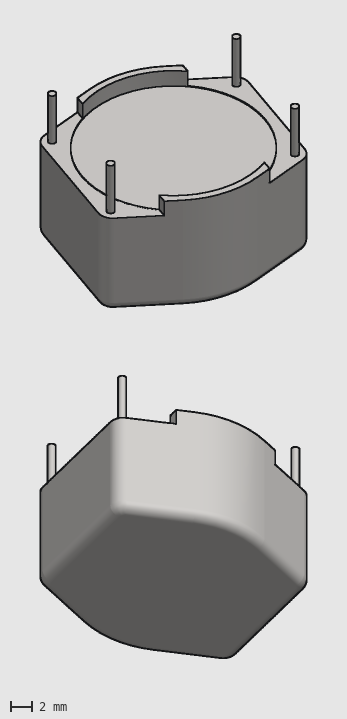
import cadquery as cq
import math

width = 20.65
length = 21.6
arc_radius = width / 2
arc_half_chord = 3.89
corner_radius = 1.5
bottom_fillet = 1.0

deck_height = 10.92
wall_height = 12.6
pin_top = 16.52

core_radius = 9.59
core_recess = 0.1
wall_half_length = 5.5

pin_diameter = 0.8
pin_x = 6.0
pin_y = 9.63


def make_housing():
    """Full-height body with rounded corners and bottom edge."""
    tangent_x = math.sqrt(arc_radius**2 - arc_half_chord**2)
    end_y = length / 2
    end_x = (arc_radius**2 - end_y * arc_half_chord) / tangent_x
    body = (
        cq.Workplane("XY")
        .moveTo(tangent_x, -arc_half_chord)
        .threePointArc((arc_radius, 0), (tangent_x, arc_half_chord))
        .lineTo(end_x, end_y)
        .lineTo(-end_x, end_y)
        .lineTo(-tangent_x, arc_half_chord)
        .threePointArc((-arc_radius, 0), (-tangent_x, -arc_half_chord))
        .lineTo(-end_x, -end_y)
        .lineTo(end_x, -end_y)
        .close()
        .extrude(wall_height)
    )
    end_edges = body.faces("<Y or >Y").edges("|Z")
    return end_edges.fillet(corner_radius).faces("<Z").edges().fillet(bottom_fillet)


def cut_to_deck(body):
    """Lower both Y ends to the deck and the core just below it, leaving the guard walls."""
    cut_depth = wall_height - deck_height
    deck = cq.Workplane("XY").workplane(offset=deck_height)
    end_depth = length / 2 - wall_half_length
    end_center = (length / 2 + wall_half_length) / 2
    core = (
        cq.Workplane("XY")
        .workplane(offset=deck_height - core_recess)
        .circle(core_radius)
        .extrude(cut_depth + core_recess)
    )
    ends = deck.pushPoints([(0, end_center), (0, -end_center)]).rect(width, end_depth).extrude(cut_depth)
    return body.cut(core).cut(ends)


def make_pins():
    return (
        cq.Workplane("XY")
        .workplane(offset=deck_height)
        .rect(2 * pin_x, 2 * pin_y, forConstruction=True)
        .vertices()
        .circle(pin_diameter / 2)
        .extrude(pin_top - deck_height)
    )


result = cut_to_deck(make_housing()).union(make_pins())